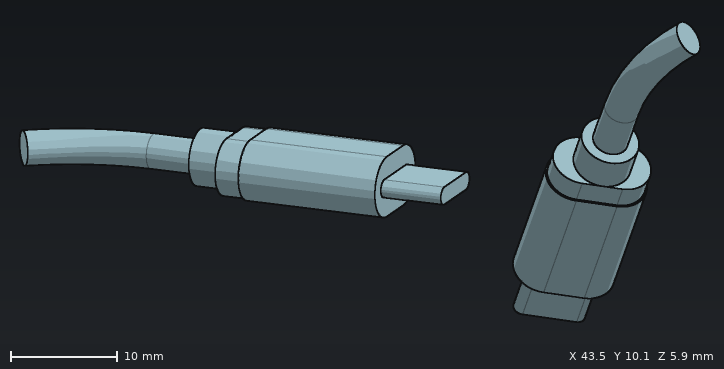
import cadquery as cq
import math

bend_end_x = 12.6
boss_start_x = 17.45
collar_start_x = 20.97
body_start_x = 23.4
plug_start_x = 37.38
overall_length = 43.5

cable_radius = 1.7
body_radius = 2.95
collar_radius = 2.8
boss_radius = collar_radius
side_center_spacing = 3.9
plug_width = 6.95
plug_height = 1.75

bend_radius = 19.6
bend_angle = math.asin(bend_end_x / (bend_radius + cable_radius))


def section_plane(x):
    """Plane across the part axis, with local x along +Y."""
    return cq.Workplane("YZ", origin=(x, 0, 0))


def round_segment(start_x, end_x, radius):
    return section_plane(start_x).circle(radius).extrude(end_x - start_x)


def slot_segment(start_x, end_x, width, height):
    return section_plane(start_x).slot2D(width, height).extrude(end_x - start_x)


def curved_cable():
    """Round cable curving from the part axis toward -Y."""
    bend_axis_start = (-bend_radius, 0)
    bend_axis_end = (-bend_radius, 1)
    return (
        section_plane(bend_end_x)
        .circle(cable_radius)
        .revolve(math.degrees(bend_angle), bend_axis_start, bend_axis_end)
    )


def housing_segment(start_x, end_x, radius):
    width = side_center_spacing + 2 * radius
    return slot_segment(start_x, end_x, width, 2 * radius)


cable = curved_cable().union(round_segment(bend_end_x, boss_start_x, cable_radius))
boss = round_segment(boss_start_x, collar_start_x, boss_radius)
collar = housing_segment(collar_start_x, body_start_x, collar_radius)
body = housing_segment(body_start_x, plug_start_x, body_radius)
plug = slot_segment(plug_start_x, overall_length, plug_width, plug_height)

result = cable.union(boss).union(collar).union(body).union(plug)